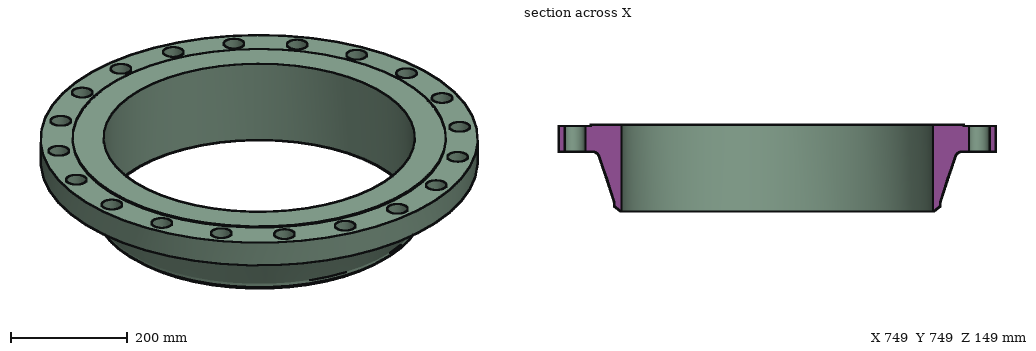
import cadquery as cq
import math

flange_diameter = 749.0
total_height = 149.0
bore_diameter = 533.5

flange_thickness = 44.0
raised_face_diameter = 640.0
raised_face_height = 2.0

weld_end_diameter = 559.0
bevel_width = 11.0
bevel_height = 9.0
weld_end_height = 15.0
hub_taper_angle = 18.3
hub_fillet_radius = 12.0

bolt_count = 20
bolt_circle_diameter = 692.0
bolt_hole_diameter = 35.0

flange_radius = flange_diameter / 2
raised_face_radius = raised_face_diameter / 2
bore_radius = bore_diameter / 2
weld_end_radius = weld_end_diameter / 2
flange_top = total_height - raised_face_height
flange_bottom = flange_top - flange_thickness


def make_body():
    """Revolve the flange, hub and weld end, with a fillet where hub meets flange."""
    taper = math.radians(hub_taper_angle)
    hub_top_radius = weld_end_radius + (flange_bottom - weld_end_height) * math.tan(taper)

    tangent_length = hub_fillet_radius * math.tan((math.pi / 2 - taper) / 2)
    fillet_flange_point = (hub_top_radius + tangent_length, flange_bottom)
    fillet_hub_point = (
        hub_top_radius - tangent_length * math.sin(taper),
        flange_bottom - tangent_length * math.cos(taper),
    )

    profile = (
        cq.Workplane("XZ")
        .moveTo(bore_radius, 0)
        .lineTo(weld_end_radius - bevel_width, 0)
        .lineTo(weld_end_radius, bevel_height)
        .lineTo(weld_end_radius, weld_end_height)
        .lineTo(*fillet_hub_point)
        .radiusArc(fillet_flange_point, hub_fillet_radius)
        .lineTo(flange_radius, flange_bottom)
        .lineTo(flange_radius, flange_top)
        .lineTo(raised_face_radius, flange_top)
        .lineTo(raised_face_radius, total_height)
        .lineTo(bore_radius, total_height)
        .close()
    )
    return profile.revolve(360, (0, 0, 0), (0, 1, 0))


def make_bolt_holes():
    """Cutting cylinders through the flange, with the first hole on the X axis."""
    return (
        cq.Workplane("XY")
        .workplane(offset=flange_bottom)
        .polarArray(bolt_circle_diameter / 2, 0, 360, bolt_count)
        .circle(bolt_hole_diameter / 2)
        .extrude(flange_thickness)
    )


result = make_body().cut(make_bolt_holes())